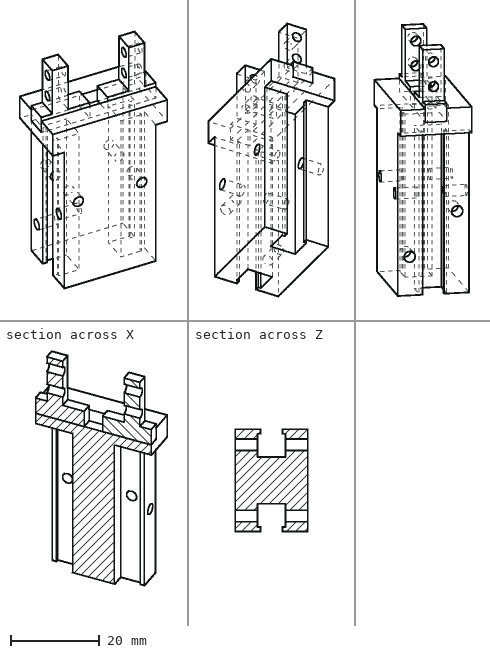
import cadquery as cq

width = 16.4
head_length = 29.0
total_height = 57.0

body_length = 23.15
head_bottom = 37.9
head_top = 43.9

slot_mouth = 4.95
slot_inner_width = 6.25
slot_depth = 6.25
lip_thickness = 1.1

guide_width = 4.95
guide_floor = 40.8

hole_diameter = 2.5
cross_hole_y = 8.05
cross_hole_z = 23.0
port_x = 5.5
port_depth = 5.0
upper_port_z = 19.05
lower_port_z = 9.0

finger_gap = 4.55
foot_top = 45.0
post_outer_y = 11.7
post_thickness = 4.0
finger_hole_diameter = 2.2
finger_hole_heights = (48.35, 54.1)


def block(x_size, y_start, y_end, z_start, z_end):
    """Box centred on X, between two Y positions and two Z levels."""
    return cq.Workplane("XY").box(
        x_size, y_end - y_start, z_end - z_start, centered=(True, False, False)
    ).translate((0, y_start, z_start))


def end_slot():
    """Undercut slot in the -Y end face, from the bottom up to the head."""
    face_y = -body_length / 2
    floor_y = face_y + slot_depth
    mouth = block(slot_mouth, face_y, floor_y, 0, head_bottom)
    undercut = block(slot_inner_width, face_y + lip_thickness, floor_y, 0, head_bottom)
    return mouth.union(undercut)


def cross_holes():
    """Two holes along X, right through the housing."""
    return (
        cq.Workplane("YZ", origin=(-width / 2, 0, 0))
        .pushPoints([(-cross_hole_y, cross_hole_z), (cross_hole_y, cross_hole_z)])
        .circle(hole_diameter / 2)
        .extrude(width)
    )


def ports():
    """Two blind holes in the -Y end face, one on each side of the slot."""
    return (
        cq.Workplane("XZ", origin=(0, -body_length / 2, 0))
        .pushPoints([(-port_x, lower_port_z), (port_x, upper_port_z)])
        .circle(hole_diameter / 2)
        .extrude(-port_depth)
    )


def make_housing():
    body = block(width, -body_length / 2, body_length / 2, 0, head_bottom)
    head = block(width, -head_length / 2, head_length / 2, head_bottom, head_top)
    guide = block(guide_width, -head_length / 2, head_length / 2, guide_floor, head_top)
    slot = end_slot()
    return (
        body.union(head)
        .cut(guide)
        .cut(slot)
        .cut(slot.mirror("XZ"))
        .cut(cross_holes())
        .cut(ports())
    )


def make_finger(side):
    """Finger with a foot in the guide channel; side is -1 for -Y or 1 for +Y."""
    post_inner_y = post_outer_y - post_thickness
    foot = block(guide_width, finger_gap / 2, head_length / 2, guide_floor, foot_top)
    post = block(guide_width, post_inner_y, post_outer_y, foot_top, total_height)
    holes = (
        cq.Workplane("XZ", origin=(0, post_inner_y, 0))
        .pushPoints([(0, z) for z in finger_hole_heights])
        .circle(finger_hole_diameter / 2)
        .extrude(-post_thickness)
    )
    finger = foot.union(post).cut(holes)
    if side < 0:
        finger = finger.mirror("XZ")
    return finger


housing = make_housing()
fingers = [make_finger(side).val() for side in (-1, 1)]

result = cq.Compound.makeCompound([housing.val(), *fingers])